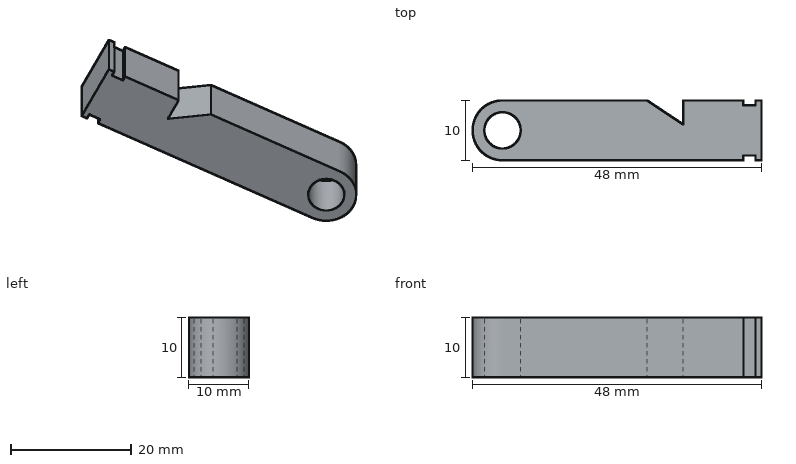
import cadquery as cq

length = 48.0
width = 10.0
height = 10.0
hole_diameter = 6.0

notch_length = 6.0
notch_depth = 4.0
notch_face_to_end = 13.0

groove_width = 2.0
groove_depth = 0.8
end_lip = 1.0

end_radius = width / 2
end_x = length - end_radius
notch_face_x = end_x - notch_face_to_end
groove_x = end_x - end_lip - groove_width / 2


def make_bar():
    """Bar with one half-round end and one square end."""
    return (
        cq.Workplane("XY")
        .moveTo(0, -end_radius)
        .lineTo(end_x, -end_radius)
        .lineTo(end_x, end_radius)
        .lineTo(0, end_radius)
        .threePointArc((-end_radius, 0), (0, -end_radius))
        .close()
        .extrude(height)
    )


def make_notch():
    """Triangular notch: a ramp down to a face square to the bar."""
    return (
        cq.Workplane("XY")
        .moveTo(notch_face_x - notch_length, end_radius)
        .lineTo(notch_face_x, end_radius)
        .lineTo(notch_face_x, end_radius - notch_depth)
        .close()
        .extrude(height)
    )


def make_grooves():
    """Matching upright grooves in both sides, near the square end."""
    return (
        cq.Workplane("XY")
        .pushPoints([(groove_x, side * end_radius) for side in (-1, 1)])
        .rect(groove_width, 2 * groove_depth)
        .extrude(height)
    )


hole = cq.Workplane("XY").circle(hole_diameter / 2).extrude(height)

result = make_bar().cut(hole).cut(make_notch()).cut(make_grooves())